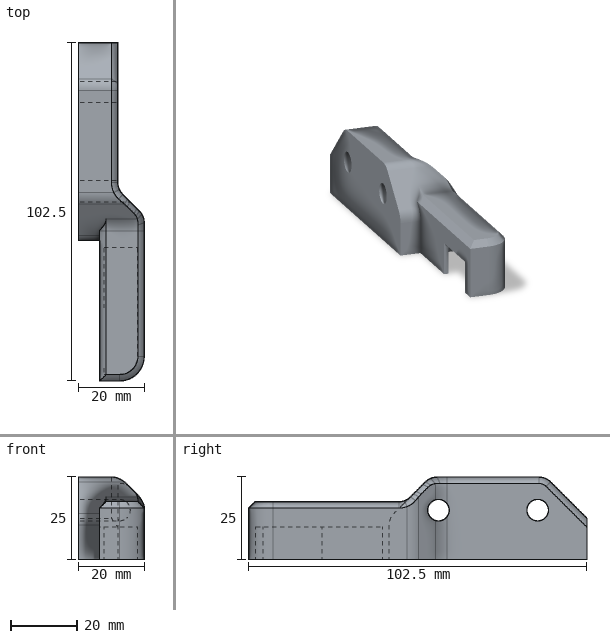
import cadquery as cq

length = 102.5
width = 20.0
height = 25.0

block_width = 12.0
block_length = 60.0
corner_cut = 12.5
hole_diameter = 6.5
hole_height = 15.0
hole_inset = 15.0

handle_inner_x = 6.5
handle_height = 17.5
nose_radius = 7.5

step_start_y = 58.0
step_end_y = step_start_y - (width - block_width)

blend_radius = 5.0
chamfer = 1.9

wall = 2.0
window_wall = 1.3
cavity_height = 9.9
window_start_y = 4.4
window_end_y = 22.2

block_start_y = length - block_length
end_height = height - corner_cut
ridge_start_y = block_start_y + corner_cut
ridge_end_y = length - corner_cut
slope_foot_y = ridge_start_y - (height - handle_height)
cavity_end_y = block_start_y - wall


def box(x0, x1, y0, y1, z1):
    """Box standing on the base plane."""
    return cq.Workplane("XY").box(x1 - x0, y1 - y0, z1, centered=False).translate((x0, y0, 0))


def side_extrusion(points, x0, x1):
    """Extrude a (Y, Z) outline from x0 to x1."""
    return cq.Workplane("YZ").workplane(offset=x0).polyline(points).close().extrude(x1 - x0)


def blend_across(body, y, z):
    """Round the edge running along X through (y, z)."""
    nearest = cq.selectors.NearestToPointSelector((body.val().Center().x, y, z))
    return body.edges("|X").edges(nearest).fillet(blend_radius)


def round_upright(body, x, y, radius):
    """Round the vertical edge at (x, y)."""
    nearest = cq.selectors.NearestToPointSelector((x, y, height / 2))
    return body.edges("|Z").edges(nearest).fillet(radius)


def make_block():
    """Inner part of the mounting block, up to the foot of the chamfer on its +X side."""
    body = side_extrusion(
        [
            (block_start_y, 0),
            (length, 0),
            (length, end_height),
            (ridge_end_y, height),
            (ridge_start_y, height),
            (block_start_y, end_height),
        ],
        0,
        block_width - chamfer,
    )
    for y, z in [(ridge_end_y, height), (ridge_start_y, height), (block_start_y, end_height)]:
        body = blend_across(body, y, z)
    return body


def make_plan():
    """Plan outline of the full-length arm, with its stepped +X side and rounded nose."""
    plan = (
        cq.Workplane("XY")
        .polyline(
            [
                (handle_inner_x, 0),
                (width, 0),
                (width, step_end_y),
                (block_width, step_start_y),
                (block_width, length),
                (handle_inner_x, length),
            ]
        )
        .close()
        .extrude(height)
    )
    plan = round_upright(plan, width, 0, nose_radius)
    plan = round_upright(plan, width, step_end_y, blend_radius)
    return round_upright(plan, block_width, step_start_y, blend_radius)


def make_arm():
    """Handle and outer part of the block, chamfered along its upper outline."""
    side = side_extrusion(
        [
            (0, 0),
            (length, 0),
            (length, end_height),
            (ridge_end_y, height),
            (ridge_start_y, height),
            (slope_foot_y, handle_height),
            (0, handle_height),
        ],
        handle_inner_x,
        width,
    )
    for y, z in [(ridge_end_y, height), (ridge_start_y, height), (slope_foot_y, handle_height)]:
        side = blend_across(side, y, z)
    arm = side.intersect(make_plan())
    margin = 0.1
    upper = cq.selectors.BoxSelector(
        (0, -margin, end_height + margin), (width, length, height + margin)
    )
    return arm.edges(upper).edges("(not |X) or <Y").chamfer(chamfer)


def make_holes():
    """Two mounting holes through the block along X."""
    centres = [(block_start_y + hole_inset, hole_height), (length - hole_inset, hole_height)]
    return cq.Workplane("YZ").pushPoints(centres).circle(hole_diameter / 2).extrude(width)


def make_cavity():
    """Hollow open at the base that keeps a constant wall around the nose, plus its window."""
    cavity = box(handle_inner_x + window_wall, width - wall, wall, cavity_end_y, cavity_height)
    cavity = round_upright(cavity, width - wall, wall, nose_radius - wall)
    window = box(handle_inner_x, width / 2, window_start_y, window_end_y, cavity_height)
    return cavity.union(window)


result = make_arm().union(make_block()).cut(make_holes()).cut(make_cavity()).clean()